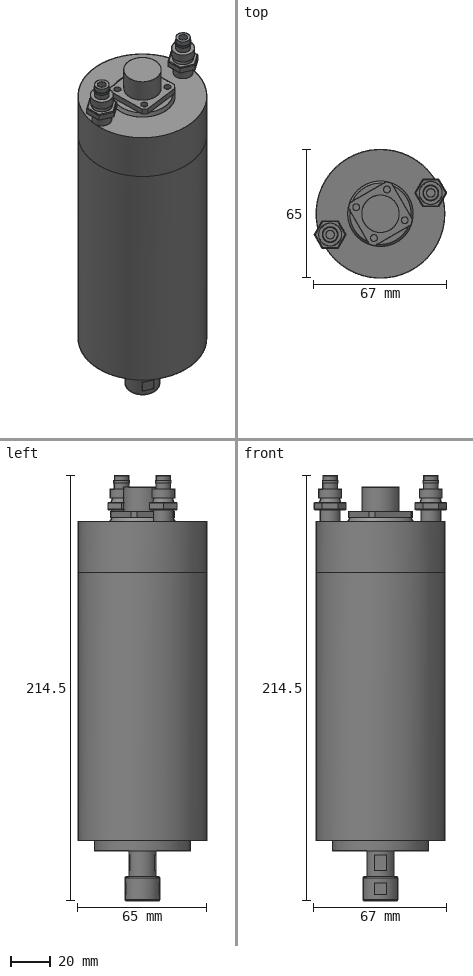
import cadquery as cq
import math


body_diameter = 65.0
body_radius = body_diameter / 2
housing_height = 135.1
flange_radius = 24.2
flange_height = 5.1

shaft_radius = 6.9
collar_radius = 8.8
collar_height = 12.2
collar_chamfer_width = 0.5
collar_chamfer_height = 0.6
shaft_end_z = -30.5

pad_width = 6.0
shaft_pad_height = 7.7
shaft_pad_bottom_z = -15.0
collar_pad_height = 5.8
collar_pad_bottom_z = -27.2

cap_height = 25.7
cap_top_z = housing_height + cap_height

base_radius = 16.5
base_top_radius = 15.5
base_height = 2.0
plate_side = 25.0
plate_corner_radius = 16.3
plate_height = 3.2
plate_turn = 30.0
plug_radius = 9.5
plug_top_z = 178.2
screw_circle_radius = 12.7
screw_hole_radius = 1.7
screw_count = 4
screw_angle = 45

fitting_circle_radius = 27.5
fitting_angle = 22.5
fitting_top_z = 184.0
foot_diameter = 10.0
foot_radius = foot_diameter / 2
hex_across_flats = 14.0
hex_bottom_z = 166.7
hex_height = 3.9
hex_chamfer = 0.5
neck_radius = 5.4
neck_top_radius = 4.7
ferrule_radius = 5.8
ferrule_bottom_z = 172.7
ferrule_top_z = 177.2
tube_diameter = 7.5
tube_radius = tube_diameter / 2
barb_diameter = 8.0
barb_radius = barb_diameter / 2
barb_bottom_z = 180.2
barb_top_z = 181.5
tip_radius = 3.6
bore_radius = 2.1
bore_depth = 6.5


def cylinder(radius, bottom_z, top_z):
    """Cylinder on the Z axis between two heights."""
    return cq.Workplane("XY", origin=(0, 0, bottom_z)).circle(radius).extrude(top_z - bottom_z)


def make_housing():
    """Motor housing with a narrower flange below it."""
    flange = cylinder(flange_radius, -flange_height, 0)
    return cylinder(body_radius, 0, housing_height).union(flange)


def pad_bar(radius, bottom_z, height):
    """Bar along Y whose two ends form pads tangent to a round body of the given radius."""
    return cq.Workplane("XY", origin=(0, 0, bottom_z)).rect(pad_width, 2 * radius).extrude(height)


def make_shaft():
    """Shaft below the housing, ending in a chamfered collar, with front and back pads on both."""
    collar_top_z = shaft_end_z + collar_height
    stem = cylinder(shaft_radius, collar_top_z, -flange_height)
    collar = (
        cylinder(collar_radius, shaft_end_z, collar_top_z)
        .faces("<Z or >Z")
        .chamfer(collar_chamfer_height, collar_chamfer_width)
    )
    stem_pads = pad_bar(shaft_radius, shaft_pad_bottom_z, shaft_pad_height)
    collar_pads = pad_bar(collar_radius, collar_pad_bottom_z, collar_pad_height)
    return collar.union(stem).union(stem_pads).union(collar_pads)


def make_cap():
    """Plain round cap closing the top of the housing."""
    return cylinder(body_radius, housing_height, cap_top_z)


def make_connector():
    """Tapered base, square screw plate with rounded corners, and round plug."""
    base_top_z = cap_top_z + base_height
    plate_top_z = base_top_z + plate_height
    base = (
        cq.Workplane("XY", origin=(0, 0, cap_top_z))
        .circle(base_radius)
        .workplane(offset=base_height)
        .circle(base_top_radius)
        .loft()
    )
    plate = (
        cq.Workplane("XY", origin=(0, 0, base_top_z))
        .rect(plate_side, plate_side)
        .extrude(plate_height)
        .intersect(cylinder(plate_corner_radius, base_top_z, plate_top_z))
        .faces(">Z")
        .workplane(origin=(0, 0, plate_top_z))
        .polarArray(screw_circle_radius, screw_angle, 360, screw_count)
        .circle(screw_hole_radius)
        .cutBlind(-plate_height)
        .rotate((0, 0, 0), (0, 0, 1), plate_turn)
    )
    return base.union(plate).union(cylinder(plug_radius, plate_top_z, plug_top_z))


def make_hex():
    """Hexagon with its upper and lower edges chamfered."""
    return (
        cq.Workplane("XY", origin=(0, 0, hex_bottom_z))
        .polygon(6, 2 * hex_across_flats / math.sqrt(3))
        .extrude(hex_height)
        .faces("<Z or >Z")
        .chamfer(hex_chamfer)
    )


def make_fitting():
    """Bored tube fitting: foot, hexagon, neck, ferrule and barbed tube tip, on the Z axis."""
    hex_top_z = hex_bottom_z + hex_height
    turned = (
        cq.Workplane("XZ")
        .moveTo(0, cap_top_z)
        .lineTo(foot_radius, cap_top_z)
        .lineTo(foot_radius, hex_top_z)
        .lineTo(neck_radius, hex_top_z)
        .lineTo(neck_top_radius, ferrule_bottom_z)
        .lineTo(ferrule_radius, ferrule_bottom_z)
        .lineTo(ferrule_radius, ferrule_top_z)
        .lineTo(tube_radius, ferrule_top_z)
        .lineTo(tube_radius, barb_bottom_z)
        .lineTo(barb_radius, barb_bottom_z)
        .lineTo(barb_radius, barb_top_z)
        .lineTo(tip_radius, barb_top_z)
        .lineTo(tip_radius, fitting_top_z)
        .lineTo(0, fitting_top_z)
        .close()
        .revolve(360, (0, 0, 0), (0, 1, 0))
    )
    bore = cylinder(bore_radius, fitting_top_z - bore_depth, fitting_top_z)
    return turned.union(make_hex()).cut(bore)


housing = make_housing()
shaft = make_shaft()
cap = make_cap()
connector = make_connector()

fittings = []
for angle in (fitting_angle, fitting_angle + 180):
    x = fitting_circle_radius * math.cos(math.radians(angle))
    y = fitting_circle_radius * math.sin(math.radians(angle))
    fittings.append(make_fitting().translate((x, y, 0)).val())

result = cq.Compound.makeCompound([housing.val(), shaft.val(), cap.val(), connector.val(), *fittings])